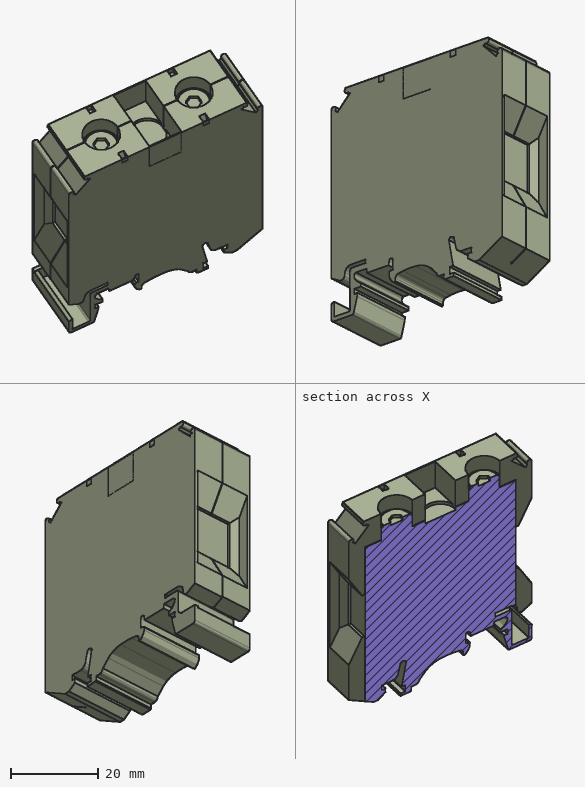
import cadquery as cq
import math

WIDTH = 17.05
DEPTH = 51.0
HEIGHT = 58.0
HALF_WIDTH = WIDTH / 2
HALF_DEPTH = DEPTH / 2
OVERLAP = 0.6

RIGHT_TOOTH_LIFT = 0.25

BEAD_RADIUS = 0.7
TOP_EDGE_SETBACK = 4.2
TOP_BEAD_SETBACK = 4.65
SIDE_BEAD_DROP = 4.4
NOTCH_INNER = (5.55, 1.75)
NOTCH_OUTER = (1.8, 5.45)

LEG_FACE_Y = -19.9
LEDGE_Z = 4.95
LEDGE_CHAMFER = 0.8
CHANNEL_FLOOR_Z = 1.1
CHANNEL_FILLET = 0.45
CHANNEL_END_WALL = 1.0
LIP_THICKNESS = 0.9
LIP_CROWN = 0.435
TOE_RADIUS = 0.7

POCKET_HALF_LENGTH = 4.25
POCKET_SIDE_WALL = 0.26
POCKET_DEPTH = 7.85
POCKET_HOLE_DIAMETER = 8.75
POCKET_HOLE_DEPTH = 0.85

BORE_DIAMETER = 8.65
BORE_DEPTH = 4.2
SCREW_Y = 12.2
SCREW_POSITIONS = ((0, -SCREW_Y), (0, SCREW_Y))
HEAD_DIAMETER = 7.85
HEAD_CHAMFER = 0.25
HEAD_HEIGHT = 0.45
HEX_ACROSS_FLATS = 3.25
HEX_DEPTH = 0.85

WINDOW_HALF_WIDTH = 7.65
WINDOW_BOTTOM_Z = 16.95
WINDOW_TOP_Z = 42.6
THROAT_HALF_WIDTH = 5.7
THROAT_BOTTOM_Z = 23.45
THROAT_TOP_Z = 35.95
STRAIGHT_DEPTH = 2.6
FUNNEL_DEPTH = 3.7
WINDOW_DEPTH = 4.4

JOINT_GAP = 0.2

SLOT_WALL = 0.2
SLOT_FLOOR_END = 1.05
SLOT_RAMP_END = 2.05
SLOT_DEPTH = 1.5
SLOT_SPANS = ((9.9, 11.5), (-11.4, -10.0))


def box(x_range, y_range, z_range):
    size = [high - low for low, high in (x_range, y_range, z_range)]
    corner = (x_range[0], y_range[0], z_range[0])
    return cq.Workplane("XY").box(*size, centered=False).translate(corner)


def both_ends(shape):
    """The shape together with its mirror image across the XZ plane."""
    return shape.union(shape.mirror("XZ"))


def extrude_profile(sketch, x_min, x_max):
    """Extrude a closed YZ outline between two X positions."""
    return sketch.extrude(x_max - x_min).translate((x_min, 0, 0))


def arc_inset(radius):
    """Distance from either side of a square corner to the middle of its rounding arc."""
    return radius * (1 - math.sqrt(0.5))


def body_half(x_min, x_max, tooth_lift):
    """One housing half: square above, with the rail profile underneath."""
    outline = (
        cq.Workplane("YZ")
        .moveTo(HALF_DEPTH, HEIGHT)
        .lineTo(HALF_DEPTH, 6.4)
        .lineTo(18.7, 2.5)
        .lineTo(17.35, 2.5)
        .lineTo(15.3, 3.9)
        .lineTo(15.3, 5.1)
        .lineTo(16.3, 5.1)
        .lineTo(16.3, 6.4)
        .lineTo(13.45, 6.4)
        .threePointArc((12.4, 6.7), (11.8, 7.55))
        .lineTo(11.15, 10.25)
        .threePointArc((10.45, 10.85), (9.6, 10.2))
        .lineTo(10.9, 3.35)
        .lineTo(9.85, 3.35)
        .lineTo(9.85, 1.55)
        .lineTo(11.15, 1.55)
        .lineTo(11.15, 0.7)
        .lineTo(8.35, 0.7)
        .lineTo(8.1, 0.9)
        .lineTo(8.1, 2.05)
        .lineTo(6.9, 2.05)
        .threePointArc((6.2, 2.4), (5.8, 3.1))
        .lineTo(3.95, 5.0)
        .threePointArc((2.0, 6.15), (-0.25, 6.6))
        .threePointArc((-2.1, 6.65), (-3.95, 6.55))
        .lineTo(-5.35, 6.3)
        .threePointArc((-6.1, 6.0), (-6.3, 5.4))
        .lineTo(-6.3, 4.65)
        .lineTo(-6.65, 4.4)
        .threePointArc((-7.7, 5.35), (-8.25, 6.6))
        .lineTo(-8.25, 7.5)
        .lineTo(-7.8, 7.8)
        .lineTo(-7.15, 7.8)
        .lineTo(-7.15, 10.3)
        .threePointArc((-7.65, 10.85), (-8.2, 10.3))
        .lineTo(-8.4, 9.3)
        .lineTo(-14.85, 9.3)
        .lineTo(-15.0, 10.4)
        .lineTo(-15.3, 10.4)
        .lineTo(-15.3, 12.8)
        .lineTo(-19.7, 12.8)
        .threePointArc((-20.8, 12.35), (-21.4, 11.35))
        .lineTo(-21.5, 10.3 + tooth_lift)
        .threePointArc((-22.1, 9.55 + tooth_lift), (-23.25, 9.7 + tooth_lift))
        .lineTo(-HALF_DEPTH, 10.85 + tooth_lift)
        .lineTo(-HALF_DEPTH, HEIGHT)
        .close()
    )
    return extrude_profile(outline, x_min, x_max)


def edge_notches():
    """Sloping notches that break both top edges of the body."""
    outline = (
        cq.Workplane("YZ")
        .polyline(
            [
                (-HALF_DEPTH - OVERLAP, HEIGHT + OVERLAP),
                (-HALF_DEPTH + TOP_EDGE_SETBACK, HEIGHT + OVERLAP),
                (-HALF_DEPTH + TOP_EDGE_SETBACK, HEIGHT - BEAD_RADIUS),
                (-HALF_DEPTH + NOTCH_INNER[0], HEIGHT - NOTCH_INNER[1]),
                (-HALF_DEPTH + NOTCH_OUTER[0], HEIGHT - NOTCH_OUTER[1]),
                (-HALF_DEPTH + BEAD_RADIUS, HEIGHT - SIDE_BEAD_DROP),
                (-HALF_DEPTH - OVERLAP, HEIGHT - SIDE_BEAD_DROP),
            ]
        )
        .close()
    )
    return both_ends(extrude_profile(outline, -HALF_WIDTH, HALF_WIDTH))


def edge_beads():
    """Round beads along the borders of the edge notches."""
    centres = [
        (-HALF_DEPTH + TOP_BEAD_SETBACK, HEIGHT - BEAD_RADIUS),
        (-HALF_DEPTH + BEAD_RADIUS, HEIGHT - SIDE_BEAD_DROP),
    ]
    circles = cq.Workplane("YZ").pushPoints(centres).circle(BEAD_RADIUS)
    return both_ends(extrude_profile(circles, -HALF_WIDTH, HALF_WIDTH))


def clip_foot():
    """Springy foot that hangs below the front of the body."""
    toe_inset = arc_inset(TOE_RADIUS)
    outline = (
        cq.Workplane("YZ")
        .moveTo(-15.0, 11.9)
        .lineTo(-15.0, 10.4)
        .lineTo(-18.1, 10.4)
        .threePointArc((-18.6, 9.85), (-18.55, 9.1))
        .threePointArc((-17.75, 8.05), (-16.65, 7.35))
        .lineTo(-16.65, 6.4)
        .lineTo(-18.6, 6.4)
        .lineTo(-18.6, 5.1)
        .lineTo(-17.7, 5.1)
        .lineTo(-17.75, 4.25)
        .lineTo(-18.75, 0.6)
        .threePointArc((-18.9, 0.2), (-19.25, 0))
        .lineTo(-HALF_DEPTH + TOE_RADIUS, 0)
        .threePointArc((-HALF_DEPTH + toe_inset, toe_inset), (-HALF_DEPTH, TOE_RADIUS))
        .lineTo(-HALF_DEPTH, LEDGE_Z)
        .lineTo(LEG_FACE_Y - LEDGE_CHAMFER, LEDGE_Z)
        .lineTo(LEG_FACE_Y, LEDGE_Z + LEDGE_CHAMFER)
        .lineTo(LEG_FACE_Y, 11.25)
        .threePointArc((-19.7, 11.7), (-19.25, 11.9))
        .close()
    )
    return extrude_profile(outline, -HALF_WIDTH, HALF_WIDTH)


def foot_channel():
    """Channel behind the rounded lip of the foot, closed at the -X end."""
    top = LEDGE_Z + LEDGE_CHAMFER
    lip_back_y = -HALF_DEPTH + LIP_THICKNESS
    lip_front_z = LEDGE_Z - LIP_CROWN
    crown_radius = (LIP_THICKNESS**2 + LIP_CROWN**2) / (2 * LIP_CROWN)
    half_angle = math.asin(LIP_THICKNESS / crown_radius) / 2
    crown_middle = (
        lip_back_y - crown_radius * math.sin(half_angle),
        LEDGE_Z - crown_radius * (1 - math.cos(half_angle)),
    )
    fillet_inset = arc_inset(CHANNEL_FILLET)
    outline = (
        cq.Workplane("YZ")
        .moveTo(LEG_FACE_Y, top)
        .lineTo(LEG_FACE_Y, CHANNEL_FLOOR_Z + CHANNEL_FILLET)
        .threePointArc(
            (LEG_FACE_Y - fillet_inset, CHANNEL_FLOOR_Z + fillet_inset),
            (LEG_FACE_Y - CHANNEL_FILLET, CHANNEL_FLOOR_Z),
        )
        .lineTo(lip_back_y, CHANNEL_FLOOR_Z)
        .lineTo(lip_back_y, LEDGE_Z)
        .threePointArc(crown_middle, (-HALF_DEPTH, lip_front_z))
        .lineTo(-HALF_DEPTH - OVERLAP, lip_front_z)
        .lineTo(-HALF_DEPTH - OVERLAP, top)
        .close()
    )
    return extrude_profile(outline, -HALF_WIDTH + CHANNEL_END_WALL, HALF_WIDTH)


def wire_windows():
    """Funnel-shaped windows: sloped above and below, then closing in from the sides."""
    slopes = extrude_profile(
        cq.Workplane("YZ")
        .polyline(
            [
                (-HALF_DEPTH, WINDOW_BOTTOM_Z),
                (-HALF_DEPTH + FUNNEL_DEPTH, THROAT_BOTTOM_Z),
                (-HALF_DEPTH + WINDOW_DEPTH, THROAT_BOTTOM_Z),
                (-HALF_DEPTH + WINDOW_DEPTH, THROAT_TOP_Z),
                (-HALF_DEPTH + FUNNEL_DEPTH, THROAT_TOP_Z),
                (-HALF_DEPTH, WINDOW_TOP_Z),
            ]
        )
        .close(),
        -HALF_WIDTH,
        HALF_WIDTH,
    )
    right_side = [
        (WINDOW_HALF_WIDTH, -HALF_DEPTH),
        (WINDOW_HALF_WIDTH, -HALF_DEPTH + STRAIGHT_DEPTH),
        (THROAT_HALF_WIDTH, -HALF_DEPTH + FUNNEL_DEPTH),
        (THROAT_HALF_WIDTH, -HALF_DEPTH + WINDOW_DEPTH),
    ]
    left_side = [(-x, y) for x, y in reversed(right_side)]
    sides = cq.Workplane("XY").polyline(right_side + left_side).close().extrude(HEIGHT)
    return both_ends(slopes.intersect(sides))


def joint():
    """Thin gap between the housing halves, stopping at the solid core."""
    gap = (-JOINT_GAP / 2, JOINT_GAP / 2)
    core_half_depth = HALF_DEPTH - WINDOW_DEPTH
    slab = box(gap, (-HALF_DEPTH, HALF_DEPTH), (0, HEIGHT))
    core = box(gap, (-core_half_depth, core_half_depth), (0, HEIGHT - POCKET_DEPTH))
    return slab.cut(core)


def top_cylinder(diameter, z_bottom, z_top, positions):
    plane = cq.Workplane("XY", origin=(0, 0, z_bottom))
    return plane.pushPoints(positions).circle(diameter / 2).extrude(z_top - z_bottom)


def marker_pocket():
    """Open pocket across the top with a shallow round recess in its floor."""
    half_width = HALF_WIDTH - POCKET_SIDE_WALL
    floor_z = HEIGHT - POCKET_DEPTH
    x_range = (-half_width, half_width)
    y_range = (-POCKET_HALF_LENGTH, POCKET_HALF_LENGTH)
    recess_z = floor_z - POCKET_HOLE_DEPTH
    recess = top_cylinder(POCKET_HOLE_DIAMETER, recess_z, floor_z, [(0, 0)])
    recess = recess.intersect(box(x_range, y_range, (recess_z, floor_z)))
    return box(x_range, y_range, (floor_z, HEIGHT)).union(recess)


def screw_bores():
    """Bores from the top down to the solid core, clearing the joint gap."""
    return top_cylinder(BORE_DIAMETER, HEIGHT - POCKET_DEPTH, HEIGHT, SCREW_POSITIONS)


def screws():
    """Screw heads at the bottom of the bores, each on a base that closes the bore."""
    floor_z = HEIGHT - BORE_DEPTH
    head_top_z = floor_z + HEAD_HEIGHT
    bases = top_cylinder(BORE_DIAMETER, HEIGHT - POCKET_DEPTH, floor_z, SCREW_POSITIONS)
    heads = top_cylinder(HEAD_DIAMETER, floor_z, head_top_z, SCREW_POSITIONS)
    heads = heads.faces(">Z").chamfer(HEAD_CHAMFER)
    sockets = (
        cq.Workplane("XY", origin=(0, 0, head_top_z - HEX_DEPTH))
        .pushPoints(SCREW_POSITIONS)
        .polygon(6, HEX_ACROSS_FLATS / math.cos(math.pi / 6))
        .extrude(HEX_DEPTH)
    )
    return bases.union(heads).cut(sockets)


def label_slots():
    """Four slots whose floors ramp up toward the middle of the block."""
    slots = cq.Workplane("XY")
    for y_min, y_max in SLOT_SPANS:
        slot = (
            cq.Workplane("XZ", origin=(0, y_max, 0))
            .polyline(
                [
                    (-HALF_WIDTH + SLOT_WALL, HEIGHT),
                    (-HALF_WIDTH + SLOT_WALL, HEIGHT - SLOT_DEPTH),
                    (-HALF_WIDTH + SLOT_FLOOR_END, HEIGHT - SLOT_DEPTH),
                    (-HALF_WIDTH + SLOT_RAMP_END, HEIGHT),
                ]
            )
            .close()
            .extrude(y_max - y_min)
        )
        slots = slots.add(slot).add(slot.mirror("YZ"))
    return slots.combine()


body = body_half(-HALF_WIDTH, 0, 0).union(body_half(0, HALF_WIDTH, RIGHT_TOOTH_LIFT))
body = body.cut(edge_notches()).union(edge_beads())
body = body.cut(wire_windows()).cut(joint())
body = body.cut(marker_pocket()).cut(label_slots())
body = body.cut(screw_bores()).union(screws())

foot = clip_foot().cut(foot_channel())
result = body.union(foot)